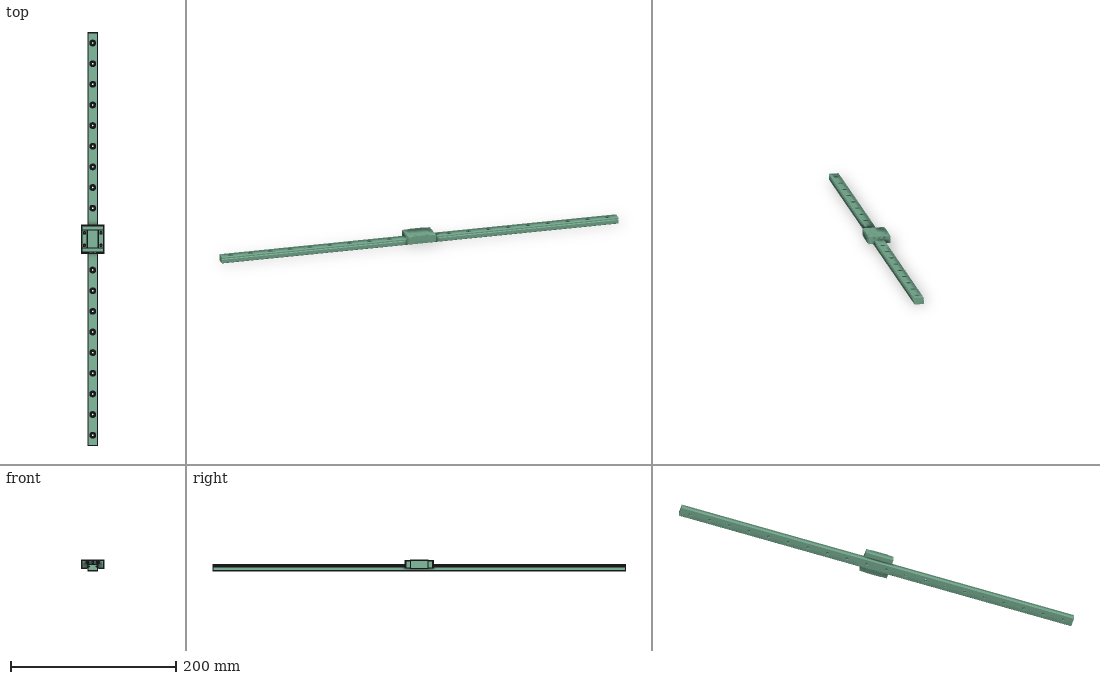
import cadquery as cq

RAIL_LENGTH = 500.0
RAIL_WIDTH = 12.0
RAIL_HEIGHT = 8.0
RAIL_FOOT_CHAMFER = 0.5
RAIL_TOP_CHAMFER = 0.5
GROOVE_BOTTOM = 4.8
GROOVE_TOP = 6.2
GROOVE_DEPTH = 1.5
GROOVE_FLOOR_HEIGHT = 0.4

HOLE_PITCH = 25.0
HOLE_COUNT = 20
HOLE_DIAMETER = 3.5
HOLE_HEAD_DIAMETER = 6.0
HOLE_HEAD_DEPTH = 4.5
HOLE_RIM_CHAMFER = 0.5

CARRIAGE_LENGTH = 34.7
BLOCK_WIDTH = 27.0
BLOCK_LENGTH = 21.7
BLOCK_TOP = 13.0
BLOCK_BOTTOM = 3.0

END_INSET = 0.1
END_TOP = 12.8
END_BOTTOM = 3.48
END_EDGE_CHAMFER = 0.5
SEAL_THICKNESS = 1.5

CHANNEL_HALF_WIDTH = RAIL_WIDTH / 2
CHANNEL_MOUTH_HALF_WIDTH = 8.3
CHANNEL_MOUTH_TOP = 4.0

MOUNT_SPACING_X = 20.0
MOUNT_SPACING_Y = 15.0
MOUNT_DIAMETER = 2.53
MOUNT_DEPTH = 3.5
MOUNT_RIM_DIAMETER = 3.0
PANEL_WIDTH = 13.5
PANEL_GROOVE_WIDTH = 0.4
PANEL_GROOVE_DEPTH = 0.2

END_HOLE_HEIGHT = 10.3
PORT_DIAMETER = 2.3
SCREW_SPACING = 12.6
CAP_SCREW_DIAMETER = 2.3
SEAL_SCREW_DIAMETER = 3.5


def along_y(profile, start, end):
    """Extrude a profile drawn on the XZ plane from y = start to y = end."""
    return profile.extrude(-(end - start)).translate((0, start, 0))


def make_rail():
    side = RAIL_WIDTH / 2
    groove_middle = (GROOVE_BOTTOM + GROOVE_TOP) / 2
    right_side = [
        (side - RAIL_FOOT_CHAMFER, 0),
        (side, RAIL_FOOT_CHAMFER),
        (side, GROOVE_BOTTOM),
        (side - GROOVE_DEPTH, groove_middle - GROOVE_FLOOR_HEIGHT / 2),
        (side - GROOVE_DEPTH, groove_middle + GROOVE_FLOOR_HEIGHT / 2),
        (side, GROOVE_TOP),
        (side, RAIL_HEIGHT - RAIL_TOP_CHAMFER),
        (side - RAIL_TOP_CHAMFER, RAIL_HEIGHT),
    ]
    left_side = [(-x, z) for x, z in reversed(right_side)]
    profile = cq.Workplane("XZ").polyline(right_side + left_side).close()
    rail = along_y(profile, -RAIL_LENGTH / 2, RAIL_LENGTH / 2)
    rail = (
        rail.faces(">Z").workplane(origin=(0, 0, RAIL_HEIGHT))
        .rarray(1, HOLE_PITCH, 1, HOLE_COUNT)
        .cboreHole(HOLE_DIAMETER, HOLE_HEAD_DIAMETER, HOLE_HEAD_DEPTH)
    )
    return rail.faces(">Z").edges("%CIRCLE").chamfer(HOLE_RIM_CHAMFER)


def make_carriage_slice(start, end, half_width, bottom, top):
    """A length of the carriage section, straddling the rail."""
    right_side = [
        (half_width, top),
        (half_width, bottom),
        (CHANNEL_MOUTH_HALF_WIDTH, bottom),
        (CHANNEL_HALF_WIDTH, CHANNEL_MOUTH_TOP),
        (CHANNEL_HALF_WIDTH, RAIL_HEIGHT),
    ]
    left_side = [(-x, z) for x, z in reversed(right_side)]
    profile = cq.Workplane("XZ").polyline(right_side + left_side).close()
    return along_y(profile, start, end)


def make_block():
    end = BLOCK_LENGTH / 2
    block = make_carriage_slice(-end, end, BLOCK_WIDTH / 2, BLOCK_BOTTOM, BLOCK_TOP)
    top = cq.Workplane("XY", origin=(0, 0, BLOCK_TOP))
    mount_holes = (
        top.rarray(MOUNT_SPACING_X, MOUNT_SPACING_Y, 2, 2)
        .circle(MOUNT_DIAMETER / 2).extrude(-MOUNT_DEPTH)
    )
    panel_grooves = (
        top.rarray(PANEL_WIDTH, 1, 2, 1)
        .rect(PANEL_GROOVE_WIDTH, BLOCK_LENGTH).extrude(-PANEL_GROOVE_DEPTH)
    )
    rim_chamfer = (MOUNT_RIM_DIAMETER - MOUNT_DIAMETER) / 2
    block = block.cut(mount_holes).faces(">Z").edges("%CIRCLE").chamfer(rim_chamfer)
    return block.cut(panel_grooves)


def end_hole(x, diameter, start, end):
    circle = cq.Workplane("XZ").center(x, END_HOLE_HEIGHT).circle(diameter / 2)
    return along_y(circle, start, end)


def make_end_part(start, end, screw_diameter):
    """A cap or seal: a chamfered carriage slice with a centre port and two screw holes."""
    half_width = BLOCK_WIDTH / 2 - END_INSET
    part = make_carriage_slice(start, end, half_width, END_BOTTOM, END_TOP)
    part = part.edges("|Y and >Z").chamfer(END_EDGE_CHAMFER)
    part = part.cut(end_hole(0, PORT_DIAMETER, start, end))
    for side in (-1, 1):
        part = part.cut(end_hole(side * SCREW_SPACING / 2, screw_diameter, start, end))
    return part


def make_front_cap():
    outer_face = -CARRIAGE_LENGTH / 2 + SEAL_THICKNESS
    return make_end_part(outer_face, -BLOCK_LENGTH / 2, CAP_SCREW_DIAMETER)


def make_front_seal():
    outer_face = -CARRIAGE_LENGTH / 2
    return make_end_part(outer_face, outer_face + SEAL_THICKNESS, SEAL_SCREW_DIAMETER)


rail = make_rail()
block = make_block()
end_parts = []
for front_part in (make_front_cap(), make_front_seal()):
    end_parts.append(front_part)
    end_parts.append(front_part.mirror("XZ"))

result = cq.Compound.makeCompound(
    [rail.val(), block.val()] + [part.val() for part in end_parts]
)